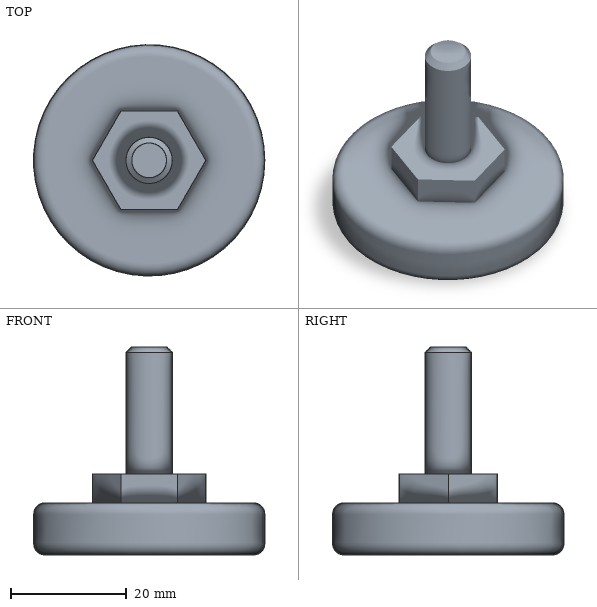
import cadquery as cq
import math

total_height = 36
base_diameter = 40
base_height = 9.0
base_edge_radius = 2
hex_across_flats = 17.0
hex_height = 5.0
stud_diameter = 8
stud_chamfer = 1.0

hex_across_corners = hex_across_flats / math.cos(math.pi / 6)
hex_top = base_height + hex_height
stud_length = total_height - hex_top


def make_base():
    """Round foot with both rims rounded, resting on Z = 0."""
    foot = cq.Workplane("XY").circle(base_diameter / 2).extrude(base_height)
    return foot.edges("%CIRCLE").fillet(base_edge_radius)


def make_hex():
    """Hexagonal wrench collar with corners on the X axis."""
    collar = cq.Workplane("XY").workplane(offset=base_height)
    return collar.polygon(6, hex_across_corners).extrude(hex_height)


def make_stud():
    """Plain round stud with a chamfered tip."""
    stud = cq.Workplane("XY").workplane(offset=hex_top)
    stud = stud.circle(stud_diameter / 2).extrude(stud_length)
    return stud.faces(">Z").edges().chamfer(stud_chamfer)


result = make_base().union(make_hex()).union(make_stud())